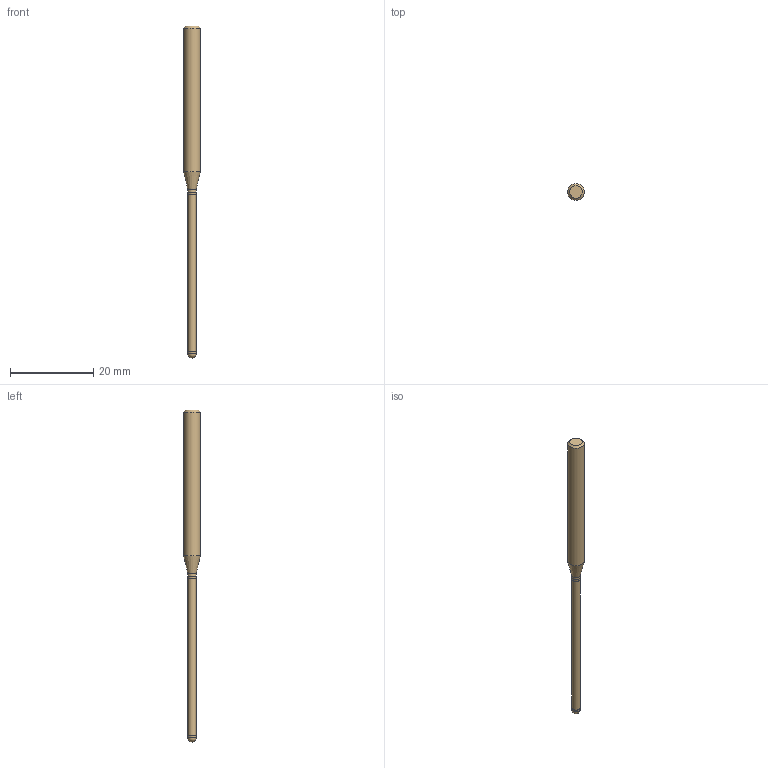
import cadquery as cq
import math

overall_length = 80.0

profile_plane = cq.Plane(origin=(0, 0, 0), xDir=(0, -1, 0), normal=(-1, 0, 0))

cutter_diameter = 2.0
cutter_radius = cutter_diameter / 2
cutting_length = 1.5

neck_diameter = 1.94
neck_radius = neck_diameter / 2
neck_end_z = 39.5
collar_start_z = 40.0
collar_end_z = 40.6
collar_radius = cutter_radius

shank_diameter = 4.0
shank_radius = shank_diameter / 2
shank_start_z = 44.9
shank_chamfer = 0.5


def revolve_profile(profile):
    """Turn a closed half profile fully around the tool axis."""
    return profile.revolve(360, (0, 0, 0), (0, 1, 0))


def make_cutting_head():
    """Hemispherical nose followed by a short cylinder of the cutting diameter."""
    arc_offset = cutter_radius * math.sqrt(0.5)
    profile = (
        cq.Workplane(profile_plane)
        .moveTo(0, 0)
        .threePointArc(
            (arc_offset, cutter_radius - arc_offset),
            (cutter_radius, cutter_radius),
        )
        .lineTo(cutter_radius, cutting_length)
        .lineTo(0, cutting_length)
        .close()
    )
    return revolve_profile(profile)


def make_shank():
    """Neck, collar, taper and chamfered shank, resting on the cutting head."""
    profile = (
        cq.Workplane(profile_plane)
        .moveTo(0, cutting_length)
        .lineTo(neck_radius, cutting_length)
        .lineTo(neck_radius, neck_end_z)
        .lineTo(collar_radius, collar_start_z)
        .lineTo(collar_radius, collar_end_z)
        .lineTo(shank_radius, shank_start_z)
        .lineTo(shank_radius, overall_length - shank_chamfer)
        .lineTo(shank_radius - shank_chamfer, overall_length)
        .lineTo(0, overall_length)
        .close()
    )
    return revolve_profile(profile)


cutting_head = make_cutting_head()
shank = make_shank()

result = cq.Compound.makeCompound([cutting_head.val(), shank.val()])